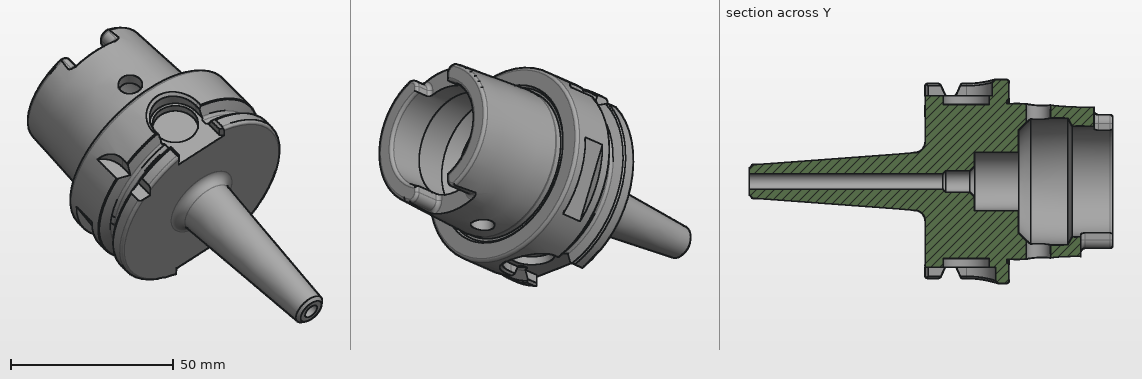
import cadquery as cq
import math

TOTAL_LENGTH = 112.0

OVERLAP = 1.1
MATCH_TOLERANCE = 0.01

SHANK_FRONT_RADIUS = 22.6
SHANK_REAR_RADIUS = 24.1
SHANK_LENGTH = 30.1
SHANK_RIM_FILLET = 1.0
RELIEF_RADIUS = 24.0
RELIEF_BEVEL = 0.5

FLANGE_START = 31.9
FLANGE_END = 57.9
FLANGE_RADIUS = 31.5
FLANGE_RIM_FILLET = 1.0
FACE_RECESS_RADIUS = 25.5
FACE_RECESS_DEPTH = 0.7
GROOVE_START = 46.6
GROOVE_END = 53.3
GROOVE_BOTTOM_RADIUS = 27.4
GROOVE_WALL_ANGLE = 25.0
GROOVE_FLOOR_FILLET = 1.1
GROOVE_FRONT_LIP = 0.2
GROOVE_REAR_LIP = 0.5

NOSE_BASE_RADIUS = 9.0
NOSE_TIP_RADIUS = 5.2
NOSE_ROOT_FILLET = 3.0
NOSE_TIP_CHAMFER = 1.0

BORE_RADIUS = 17.0
BORE_STRAIGHT_DEPTH = 12.5
CHAMBER_RADIUS = 19.5
CHAMBER_END = 25.3
CHAMBER_ENTRY_ANGLE = 60.0
CHAMBER_FLOOR_RADIUS = 15.8
SOCKET_RADIUS = 9.0
SOCKET_DEPTH = 42.6
PILOT_MOUTH_RADIUS = 4.7
PILOT_RADIUS = 3.2
PILOT_DEPTH = 51.5
THROUGH_RADIUS = 2.4

DRIVE_SLOT_HALF_WIDTH = 6.3
DRIVE_SLOT_CORNER = 2.7
DRIVE_SLOT_CORNER_TOP = 20.6
DRIVE_SLOT_FLOOR_FILLET = 1.2
TOP_DRIVE_SLOT_DEPTH = 5.8
BOTTOM_DRIVE_SLOT_DEPTH = 9.9

CROSS_HOLE_X = 23.0
CROSS_HOLE_RADIUS = 3.7

KEYWAY_CENTER_X = 45.1
TOP_KEYWAY_HALF_WIDTH = 8.0
BOTTOM_KEYWAY_HALF_WIDTH = 9.0
KEYWAY_FLOOR_HEIGHT = 26.4
KEYWAY_RIM_CHAMFER = 1.0
KEYWAY_POCKET_RADIUS = 7.0
KEYWAY_POCKET_FLOOR = 23.7

NOTCH_WALL_Y = -20.0
NOTCH_FLOOR_Z = 20.0
NOTCH_STRAIGHT_START = 44.0
NOTCH_CUTTER_RADIUS = 8.0

FLAT_START = 35.7
FLAT_END = 43.3
FLAT_TOP_Z = 0.5
FLAT_BOTTOM_Z = -22.5


def revolve_profile(profile):
    """Turn a closed (x, radius) profile around the X axis."""
    return profile.close().revolve(360, (0, 0, 0), (1, 0, 0))


def shank():
    relief_start = SHANK_LENGTH + RELIEF_BEVEL
    return revolve_profile(
        cq.Workplane("XY")
        .lineTo(0, SHANK_FRONT_RADIUS)
        .lineTo(SHANK_LENGTH, SHANK_REAR_RADIUS)
        .lineTo(relief_start, RELIEF_RADIUS)
        .lineTo(FLANGE_START + OVERLAP, RELIEF_RADIUS)
        .lineTo(FLANGE_START + OVERLAP, 0)
    )


def flange():
    """Flange disc with keyways, gripper groove and a ring recess in its front face."""
    length = FLANGE_END - FLANGE_START
    disc = cq.Workplane("YZ", origin=(FLANGE_START, 0, 0)).circle(FLANGE_RADIUS).extrude(length)
    disc = disc.cut(keyway(TOP_KEYWAY_HALF_WIDTH))
    disc = disc.cut(turned_below(keyway(BOTTOM_KEYWAY_HALF_WIDTH)))
    keyway_rims = disc.edges().filter(is_keyway_rim)
    disc = keyway_rims.chamfer(KEYWAY_RIM_CHAMFER)
    end_arcs = disc.faces("<X or >X").edges("%CIRCLE")
    disc = end_arcs.fillet(FLANGE_RIM_FILLET)
    return disc.cut(gripper_groove()).cut(face_recess())


def is_keyway_rim(edge):
    """True where a keyway wall meets the flange rim or the rear face of the flange."""
    box = edge.BoundingBox()
    points = edge.positions((0, 0.5, 1))
    on_rim = all(abs(math.hypot(p.y, p.z) - FLANGE_RADIUS) < MATCH_TOLERANCE for p in points)
    rim_edge = on_rim and box.xmin > FLANGE_START and box.xlen > MATCH_TOLERANCE
    at_rear = box.xmin > FLANGE_END - MATCH_TOLERANCE
    rear_edge = at_rear and edge.geomType() == "LINE" and box.zlen > box.ylen
    return rim_edge or rear_edge


def face_recess():
    """Bevelled ring recess around the root of the shank."""
    recess_end = FLANGE_START + FACE_RECESS_DEPTH
    return revolve_profile(
        cq.Workplane("XY")
        .moveTo(FLANGE_START, RELIEF_RADIUS)
        .lineTo(FLANGE_START, FACE_RECESS_RADIUS)
        .lineTo(recess_end, FACE_RECESS_RADIUS - FACE_RECESS_DEPTH)
        .lineTo(recess_end, RELIEF_RADIUS)
    )


def gripper_groove():
    """V groove around the flange rim with rounded floor corners and broken lips."""
    depth = FLANGE_RADIUS - GROOVE_BOTTOM_RADIUS
    wall_angle = math.radians(GROOVE_WALL_ANGLE)
    wall_run = depth * math.tan(wall_angle)
    front_lip_run = GROOVE_FRONT_LIP * math.tan(wall_angle)
    rear_lip_run = GROOVE_REAR_LIP * math.tan(wall_angle)
    floor_start = GROOVE_START + wall_run
    floor_end = GROOVE_END - wall_run

    turn = math.pi / 2 - wall_angle
    tangent = GROOVE_FLOOR_FILLET * math.tan(turn / 2)
    wall_x = tangent * math.sin(wall_angle)
    wall_r = GROOVE_BOTTOM_RADIUS + tangent * math.cos(wall_angle)
    middle_x = tangent - GROOVE_FLOOR_FILLET * math.sin(turn / 2)
    middle_r = GROOVE_BOTTOM_RADIUS + GROOVE_FLOOR_FILLET * (1 - math.cos(turn / 2))
    return revolve_profile(
        cq.Workplane("XY")
        .moveTo(GROOVE_START - GROOVE_FRONT_LIP, FLANGE_RADIUS)
        .lineTo(GROOVE_START + front_lip_run, FLANGE_RADIUS - GROOVE_FRONT_LIP)
        .lineTo(floor_start - wall_x, wall_r)
        .threePointArc((floor_start + middle_x, middle_r), (floor_start + tangent, GROOVE_BOTTOM_RADIUS))
        .lineTo(floor_end - tangent, GROOVE_BOTTOM_RADIUS)
        .threePointArc((floor_end - middle_x, middle_r), (floor_end + wall_x, wall_r))
        .lineTo(GROOVE_END - rear_lip_run, FLANGE_RADIUS - GROOVE_REAR_LIP)
        .lineTo(GROOVE_END + GROOVE_REAR_LIP, FLANGE_RADIUS)
    )


def nose():
    """Slim cone with a concave root blend onto the flange."""
    root_end = FLANGE_END + NOSE_ROOT_FILLET
    root_radius = NOSE_BASE_RADIUS + NOSE_ROOT_FILLET
    offset = NOSE_ROOT_FILLET * (1 - math.sqrt(0.5))
    return revolve_profile(
        cq.Workplane("XY")
        .moveTo(FLANGE_END - OVERLAP, 0)
        .lineTo(FLANGE_END - OVERLAP, root_radius)
        .lineTo(FLANGE_END, root_radius)
        .threePointArc((FLANGE_END + offset, NOSE_BASE_RADIUS + offset), (root_end, NOSE_BASE_RADIUS))
        .lineTo(TOTAL_LENGTH, NOSE_TIP_RADIUS)
        .lineTo(TOTAL_LENGTH, 0)
    ).faces(">X").edges().chamfer(NOSE_TIP_CHAMFER)


def bore():
    """Stepped bore with a wider chamber behind its mouth, open through the whole part."""
    entry_length = (CHAMBER_RADIUS - BORE_RADIUS) / math.tan(math.radians(CHAMBER_ENTRY_ANGLE))
    floor_x = CHAMBER_END + CHAMBER_RADIUS - CHAMBER_FLOOR_RADIUS
    mouth_length = PILOT_MOUTH_RADIUS - PILOT_RADIUS
    cone_length = PILOT_RADIUS - THROUGH_RADIUS
    return revolve_profile(
        cq.Workplane("XY")
        .lineTo(0, BORE_RADIUS)
        .lineTo(BORE_STRAIGHT_DEPTH, BORE_RADIUS)
        .lineTo(BORE_STRAIGHT_DEPTH + entry_length, CHAMBER_RADIUS)
        .lineTo(CHAMBER_END, CHAMBER_RADIUS)
        .lineTo(floor_x, CHAMBER_FLOOR_RADIUS)
        .lineTo(floor_x, SOCKET_RADIUS)
        .lineTo(SOCKET_DEPTH, SOCKET_RADIUS)
        .lineTo(SOCKET_DEPTH, PILOT_MOUTH_RADIUS)
        .lineTo(SOCKET_DEPTH + mouth_length, PILOT_RADIUS)
        .lineTo(PILOT_DEPTH, PILOT_RADIUS)
        .lineTo(PILOT_DEPTH + cone_length, THROUGH_RADIUS)
        .lineTo(TOTAL_LENGTH, THROUGH_RADIUS)
        .lineTo(TOTAL_LENGTH, 0)
    )


def drive_slot(depth):
    """Open slot at the top of the clamping end, flared by rounded corners at its mouth."""
    half = DRIVE_SLOT_HALF_WIDTH
    mouth = half + DRIVE_SLOT_CORNER
    corner_start = DRIVE_SLOT_CORNER_TOP - DRIVE_SLOT_CORNER
    slot_bottom = BORE_RADIUS / 2
    above = FLANGE_RADIUS
    bow = DRIVE_SLOT_CORNER * math.sqrt(0.5)
    arc_y = mouth - bow
    arc_z = corner_start + bow
    slot = (
        cq.Workplane("YZ")
        .moveTo(-half, slot_bottom)
        .lineTo(-half, corner_start)
        .threePointArc((-arc_y, arc_z), (-mouth, DRIVE_SLOT_CORNER_TOP))
        .lineTo(-mouth - DRIVE_SLOT_CORNER, DRIVE_SLOT_CORNER_TOP)
        .lineTo(-mouth - DRIVE_SLOT_CORNER, above)
        .lineTo(mouth + DRIVE_SLOT_CORNER, above)
        .lineTo(mouth + DRIVE_SLOT_CORNER, DRIVE_SLOT_CORNER_TOP)
        .lineTo(mouth, DRIVE_SLOT_CORNER_TOP)
        .threePointArc((arc_y, arc_z), (half, corner_start))
        .lineTo(half, slot_bottom)
        .close()
        .extrude(depth)
    )
    return slot.faces(">X").edges().fillet(DRIVE_SLOT_FLOOR_FILLET)


def cross_hole():
    return (
        cq.Workplane("XY", origin=(CROSS_HOLE_X, 0, -FLANGE_RADIUS))
        .circle(CROSS_HOLE_RADIUS)
        .extrude(2 * FLANGE_RADIUS)
    )


def keyway(half_width):
    """Round-ended keyway at the top of the flange, open at the rear."""
    open_end = FLANGE_END + OVERLAP
    return (
        cq.Workplane("XY", origin=(0, 0, KEYWAY_FLOOR_HEIGHT))
        .moveTo(open_end, half_width)
        .lineTo(KEYWAY_CENTER_X, half_width)
        .threePointArc((KEYWAY_CENTER_X - half_width, 0), (KEYWAY_CENTER_X, -half_width))
        .lineTo(open_end, -half_width)
        .close()
        .extrude(FLANGE_RADIUS - KEYWAY_FLOOR_HEIGHT)
    )


def keyway_pocket():
    """Round pocket sunk in the keyway floor."""
    return (
        cq.Workplane("XY", origin=(KEYWAY_CENTER_X, 0, KEYWAY_POCKET_FLOOR))
        .circle(KEYWAY_POCKET_RADIUS)
        .extrude(KEYWAY_FLOOR_HEIGHT - KEYWAY_POCKET_FLOOR)
    )


def corner_notch():
    """L-shaped notch in the flange rim that runs out on a cutter radius."""
    reach = 2 * NOTCH_CUTTER_RADIUS
    arc_start = NOTCH_STRAIGHT_START - NOTCH_CUTTER_RADIUS
    bow = NOTCH_CUTTER_RADIUS * (1 - math.sqrt(0.5))
    return (
        cq.Workplane("XY", origin=(0, 0, NOTCH_FLOOR_Z))
        .moveTo(FLANGE_END + OVERLAP, NOTCH_WALL_Y)
        .lineTo(NOTCH_STRAIGHT_START, NOTCH_WALL_Y)
        .threePointArc(
            (arc_start + bow, NOTCH_WALL_Y - bow),
            (arc_start, NOTCH_WALL_Y - NOTCH_CUTTER_RADIUS),
        )
        .lineTo(arc_start, NOTCH_WALL_Y - reach)
        .lineTo(FLANGE_END + OVERLAP, NOTCH_WALL_Y - reach)
        .close()
        .extrude(FLANGE_RADIUS - NOTCH_FLOOR_Z)
    )


def rim_flat():
    """Material outside the chord that joins the upper and lower edges of the flat."""
    top_y = -math.sqrt(FLANGE_RADIUS**2 - FLAT_TOP_Z**2)
    bottom_y = -math.sqrt(FLANGE_RADIUS**2 - FLAT_BOTTOM_Z**2)
    outer_y = -FLANGE_RADIUS - OVERLAP
    return (
        cq.Workplane("YZ", origin=(FLAT_START, 0, 0))
        .moveTo(top_y, FLAT_TOP_Z)
        .lineTo(bottom_y, FLAT_BOTTOM_Z)
        .lineTo(outer_y, FLAT_BOTTOM_Z)
        .lineTo(outer_y, FLAT_TOP_Z)
        .close()
        .extrude(FLAT_END - FLAT_START)
    )


def turned_below(tool):
    """Turn a tool half a revolution about the spindle axis, from the top to the bottom."""
    return tool.rotate((0, 0, 0), (1, 0, 0), 180)


body = shank().union(flange()).union(nose()).cut(bore())
body = body.cut(drive_slot(TOP_DRIVE_SLOT_DEPTH))
body = body.cut(turned_below(drive_slot(BOTTOM_DRIVE_SLOT_DEPTH)))
body = body.faces("<X").edges().fillet(SHANK_RIM_FILLET)
body = body.cut(cross_hole())
body = body.cut(keyway_pocket()).cut(turned_below(keyway_pocket()))
result = body.cut(corner_notch()).cut(rim_flat())